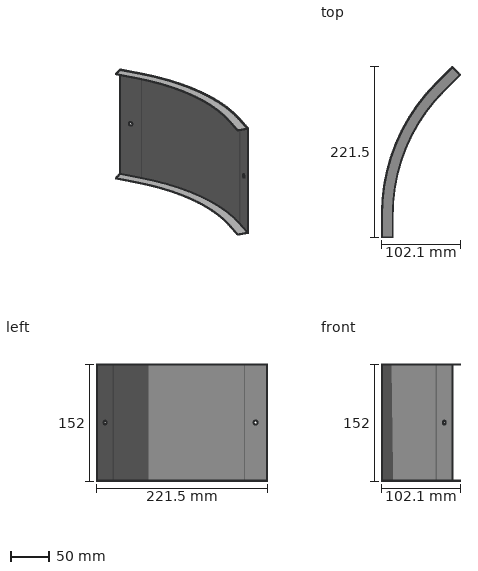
import cadquery as cq
import math

bend_angle = 45.0
straight_length = 30.0
flange_depth = 14.6
height = 152.0
thickness = 0.78
hole_diameter = 5.0
hole_end_distance = straight_length / 2
length = 221.5

angle = math.radians(bend_angle)
along = (math.sin(angle), math.cos(angle))
inward = (math.cos(angle), -math.sin(angle))

bend_length = length - straight_length * (1 + along[1])
outer_radius = bend_length / math.sin(angle)
bend_start_y = straight_length - length / 2


def point_on_bend(offset, turn):
    """Point on the bend, offset inward from the outer face."""
    radius = outer_radius - offset
    return (outer_radius - radius * math.cos(turn), bend_start_y + radius * math.sin(turn))


def far_end_point(offset, distance):
    """Point on the far straight, at a distance past the end of the bend."""
    x, y = point_on_bend(offset, angle)
    return (x + along[0] * distance, y + along[1] * distance)


def bent_strip(near_offset, far_offset, strip_height):
    """Solid between two inward offsets of the outer face, centred on Z = 0."""
    return (
        cq.Workplane("XY")
        .moveTo(near_offset, -length / 2)
        .lineTo(near_offset, bend_start_y)
        .threePointArc(point_on_bend(near_offset, angle / 2), point_on_bend(near_offset, angle))
        .lineTo(*far_end_point(near_offset, straight_length))
        .lineTo(*far_end_point(far_offset, straight_length))
        .lineTo(*point_on_bend(far_offset, angle))
        .threePointArc(point_on_bend(far_offset, angle / 2), (far_offset, bend_start_y))
        .lineTo(far_offset, -length / 2)
        .close()
        .extrude(strip_height / 2, both=True)
    )


def web_hole(center, direction):
    """Cutter for a round hole through the web, starting on its outer face."""
    axis = cq.Vector(*direction, 0)
    start = cq.Vector(*center, 0) - axis * thickness
    return cq.Solid.makeCylinder(hole_diameter / 2, 3 * thickness, start, axis)


channel = bent_strip(0, flange_depth, height)
channel = channel.cut(bent_strip(thickness, flange_depth, height - 2 * thickness))

near_hole = web_hole((0, hole_end_distance - length / 2), (1, 0))
far_hole = web_hole(far_end_point(0, straight_length - hole_end_distance), inward)

result = channel.cut(near_hole).cut(far_hole)